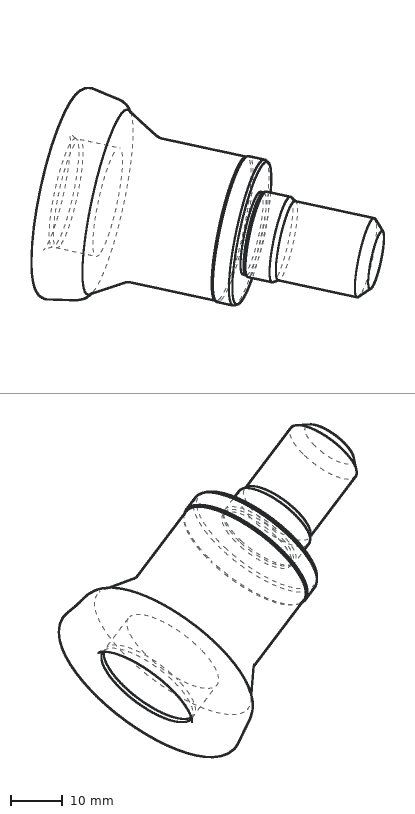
import cadquery as cq
import math


TAPER_SLOPE = math.tan(math.radians(30))

KNOB_LENGTH = 40.0
SHANK_LENGTH = 25.0
FRONT_X = -KNOB_LENGTH

HEAD_LENGTH = 11.0
HEAD_END_X = FRONT_X + HEAD_LENGTH
HEAD_BORE_RADIUS = 10.76
RIM_RADIUS = 13.08
RIM_INNER_RADIUS = 11.3
RIM_INNER_DEPTH = 1.1
RIM_ROUND_BULGE = 0.25
BORE_TAPER_DEPTH = 2.2
CROWN_RADIUS = 19.6
CROWN_EDGE_RADIUS = 18.68
SHOULDER_RADIUS = 19.87
SHOULDER_DEPTH = 1.32
CREST_RADIUS = 20.97
CREST_DEPTH = 3.15
BACK_RADIUS = 19.97
BACK_DEPTH = 8.67
BACK_ROUND_MID_RADIUS = 19.45
BACK_ROUND_MID_DEPTH = 10.04

SKIRT_RADIUS = 18.35
GRIP_RADIUS = 28.6 / 2
SKIRT_BLEND_RADIUS = 3.0
FLANGE_RADIUS = 29 / 2
FLANGE_START_X = -3.8
FLANGE_CHAMFER_LENGTH = 0.6

DISH_EDGE_DEPTH = 3.05
DISH_FLOOR_DEPTH = 4.0
DISH_FLOOR_RADIUS = 4.46

COLLAR_RADIUS = 17 / 2
COLLAR_END_X = 7.0
RELIEF_LENGTH = 0.6
RELIEF_DEPTH = 0.28
SHANK_RADIUS = 15.75 / 2
TIP_CHAMFER = 2.1


def taper_length(radius_change):
    """Axial length of a taper that changes the radius by the given amount."""
    return radius_change / TAPER_SLOPE


def crown_x(radius):
    """X of the crowned face, a shallow arc that is square to the axis at the rim."""
    return FRONT_X + CROWN_RADIUS - math.sqrt(CROWN_RADIUS**2 - (radius - RIM_RADIUS) ** 2)


def turned(profile):
    """Revolve a closed (x, radius) profile about the X axis."""
    return profile.close().revolve(360, (0, 0, 0), (1, 0, 0))


def make_head():
    crown_mid_radius = (RIM_RADIUS + CROWN_EDGE_RADIUS) / 2
    rim_mid = (
        FRONT_X + RIM_ROUND_BULGE,
        (RIM_RADIUS + RIM_INNER_RADIUS) / 2 - RIM_ROUND_BULGE,
    )
    profile = (
        cq.Workplane("XY")
        .moveTo(HEAD_END_X, HEAD_BORE_RADIUS)
        .lineTo(FRONT_X + BORE_TAPER_DEPTH, HEAD_BORE_RADIUS)
        .lineTo(FRONT_X + RIM_INNER_DEPTH, RIM_INNER_RADIUS)
        .threePointArc(rim_mid, (FRONT_X, RIM_RADIUS))
        .threePointArc(
            (crown_x(crown_mid_radius), crown_mid_radius),
            (crown_x(CROWN_EDGE_RADIUS), CROWN_EDGE_RADIUS),
        )
        .tangentArcPoint((FRONT_X + SHOULDER_DEPTH, SHOULDER_RADIUS), relative=False)
        .tangentArcPoint((FRONT_X + CREST_DEPTH, CREST_RADIUS), relative=False)
        .lineTo(FRONT_X + BACK_DEPTH, BACK_RADIUS)
        .tangentArcPoint((FRONT_X + BACK_ROUND_MID_DEPTH, BACK_ROUND_MID_RADIUS), relative=False)
        .tangentArcPoint((HEAD_END_X, SKIRT_RADIUS), relative=False)
    )
    return turned(profile)


def make_sleeve():
    blend_angle = math.atan(TAPER_SLOPE)
    blend_end_x = (
        HEAD_END_X
        + taper_length(SKIRT_RADIUS - GRIP_RADIUS)
        + SKIRT_BLEND_RADIUS * math.tan(blend_angle / 2)
    )

    def blend_point(angle):
        return (
            blend_end_x - SKIRT_BLEND_RADIUS * math.sin(angle),
            GRIP_RADIUS + SKIRT_BLEND_RADIUS * (1 - math.cos(angle)),
        )

    relief_radius = COLLAR_RADIUS - RELIEF_DEPTH
    flange_taper = taper_length(FLANGE_RADIUS - GRIP_RADIUS)
    relief_taper = taper_length(RELIEF_DEPTH)
    collar_taper = taper_length(COLLAR_RADIUS - SHANK_RADIUS)
    dish_floor_x = FRONT_X + DISH_FLOOR_DEPTH

    profile = (
        cq.Workplane("XY")
        .moveTo(dish_floor_x, 0)
        .lineTo(dish_floor_x, DISH_FLOOR_RADIUS)
        .lineTo(FRONT_X + DISH_EDGE_DEPTH, HEAD_BORE_RADIUS)
        .lineTo(HEAD_END_X, HEAD_BORE_RADIUS)
        .lineTo(HEAD_END_X, SKIRT_RADIUS)
        .lineTo(*blend_point(blend_angle))
        .threePointArc(blend_point(blend_angle / 2), blend_point(0))
        .lineTo(FLANGE_START_X - flange_taper, GRIP_RADIUS)
        .lineTo(FLANGE_START_X, FLANGE_RADIUS)
        .lineTo(-FLANGE_CHAMFER_LENGTH, FLANGE_RADIUS)
        .lineTo(0, FLANGE_RADIUS - FLANGE_CHAMFER_LENGTH * TAPER_SLOPE)
        .lineTo(0, relief_radius)
        .lineTo(RELIEF_LENGTH, relief_radius)
        .lineTo(RELIEF_LENGTH + relief_taper, COLLAR_RADIUS)
        .lineTo(COLLAR_END_X - collar_taper, COLLAR_RADIUS)
        .lineTo(COLLAR_END_X, SHANK_RADIUS)
        .lineTo(SHANK_LENGTH - TIP_CHAMFER, SHANK_RADIUS)
        .lineTo(SHANK_LENGTH, SHANK_RADIUS - TIP_CHAMFER)
        .lineTo(SHANK_LENGTH, 0)
    )
    return turned(profile)


head = make_head()
sleeve = make_sleeve()

result = cq.Compound.makeCompound([head.val(), sleeve.val()])